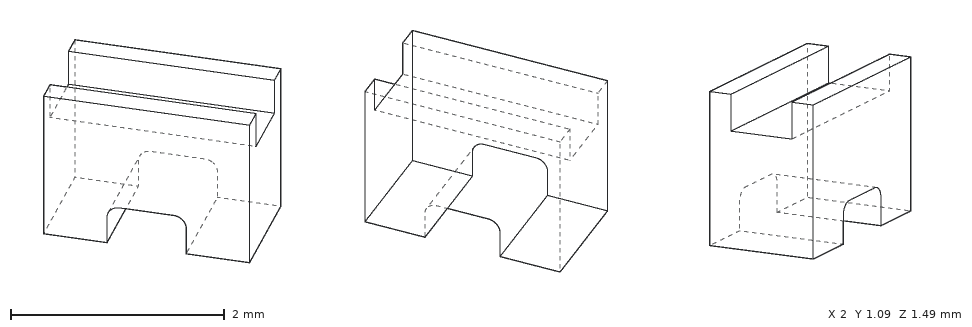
import cadquery as cq

length = 2.0
width = 1.09
height = 1.49

channel_width = 0.64
channel_depth = 0.355

notch_width = 0.768
notch_height = 0.395
notch_radius = 0.12

centered_on_base = (True, True, False)


def make_block():
    return cq.Workplane("XY").box(length, width, height, centered=centered_on_base)


def make_channel():
    channel = cq.Workplane("XY").box(length, channel_width, channel_depth, centered=centered_on_base)
    return channel.translate((0, 0, height - channel_depth))


def make_notch():
    notch = cq.Workplane("XY").box(notch_width, width, notch_height, centered=centered_on_base)
    return notch.edges("|Y and >Z").fillet(notch_radius)


result = make_block().cut(make_channel()).cut(make_notch())